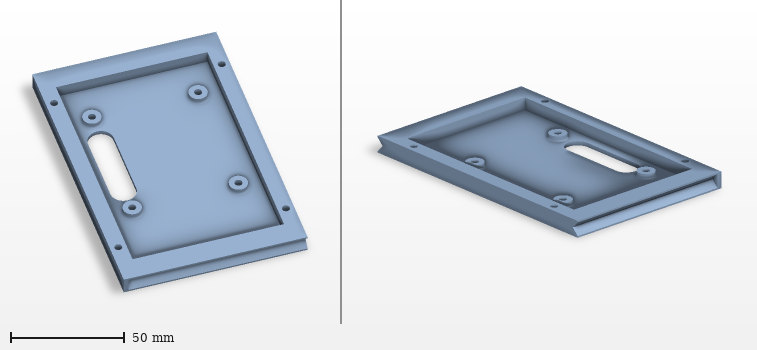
import cadquery as cq

length = 131.5
width = 85.0
thickness = 8.0

pocket_length = 110.0
pocket_width = 70.0
floor_thickness = 2.0

lip_thickness = 0.8
groove_depth = 3.2
groove_end_wall = 2.2

hole_diameter = 3.5
rim_hole_pitch_x = 92.3
rim_hole_pitch_y = 77.5

standoff_diameter = 8.5
standoff_height = 2.5
standoff_fillet = 1.0
standoff_pitch_x = 58.0
standoff_pitch_y = 49.0
standoff_center_x = -7.4
standoff_center_y = 0.1

slot_length = 44.0
slot_width = 12.0
slot_center_y = standoff_center_y - standoff_pitch_y / 2


def make_tray():
    plate = cq.Workplane("XY").box(length, width, thickness, centered=(True, True, False))
    pocket = (
        cq.Workplane("XY")
        .workplane(offset=floor_thickness)
        .rect(pocket_length, pocket_width)
        .extrude(thickness)
    )
    return plate.cut(pocket)


def make_standoff(x, y):
    """Round boss whose foot flares into the pocket floor with a concave fillet."""
    radius = standoff_diameter / 2
    foot_radius = radius + standoff_fillet
    fillet_top = floor_thickness + standoff_fillet
    arc_offset = standoff_fillet * (1 - 0.5 ** 0.5)
    profile = (
        cq.Workplane("XZ")
        .lineTo(foot_radius, 0)
        .lineTo(foot_radius, floor_thickness)
        .threePointArc((radius + arc_offset, floor_thickness + arc_offset), (radius, fillet_top))
        .lineTo(radius, floor_thickness + standoff_height)
        .lineTo(0, floor_thickness + standoff_height)
        .close()
    )
    return profile.revolve(360, (0, 0, 0), (0, 1, 0)).translate((x, y, 0))


def make_groove(side):
    """V groove, open at the +Y end and stopped by a wall at the -Y end."""
    edge_x = side * length / 2
    return (
        cq.Workplane("XZ", origin=(0, width / 2, 0))
        .moveTo(edge_x, lip_thickness)
        .lineTo(edge_x - side * groove_depth, thickness / 2)
        .lineTo(edge_x, thickness - lip_thickness)
        .close()
        .extrude(width - groove_end_wall)
    )


def make_holes(center_x, center_y, pitch_x, pitch_y):
    """Four through holes at the corners of a rectangle."""
    return (
        cq.Workplane("XY")
        .center(center_x, center_y)
        .rect(pitch_x, pitch_y, forConstruction=True)
        .vertices()
        .circle(hole_diameter / 2)
        .extrude(thickness)
    )


result = make_tray()

for side_x in (-1, 1):
    result = result.cut(make_groove(side_x))
    for side_y in (-1, 1):
        standoff_x = standoff_center_x + side_x * standoff_pitch_x / 2
        standoff_y = standoff_center_y + side_y * standoff_pitch_y / 2
        result = result.union(make_standoff(standoff_x, standoff_y))

result = result.cut(make_holes(0, 0, rim_hole_pitch_x, rim_hole_pitch_y))
result = result.cut(make_holes(standoff_center_x, standoff_center_y, standoff_pitch_x, standoff_pitch_y))

slot = (
    cq.Workplane("XY")
    .center(standoff_center_x, slot_center_y)
    .slot2D(slot_length, slot_width)
    .extrude(thickness)
)
result = result.cut(slot)